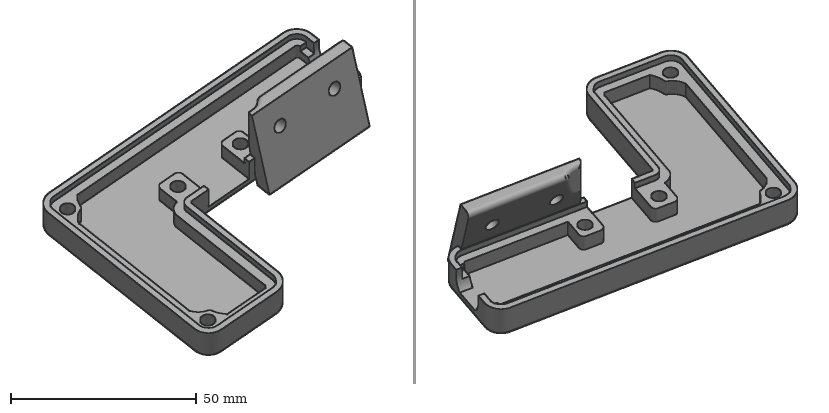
import cadquery as cq
import math


LENGTH_X = 68.35
LENGTH_Y = 96.66
TOTAL_HEIGHT = 26.0

TRAY_HEIGHT = 10.0
FLOOR = 3.15
LEDGE_Z = 8.0
LEG_WIDTH = 28.4
ARM_WIDTH = 30.75
OUTER_RADIUS = 5.3
INNER_CORNER_RADIUS = 0.5
BOTTOM_RADIUS = 2.0
LIP = 1.85
SIDE_WALL = 4.4
ARM_WALL = 4.73
END_WALL = 4.1
CAVITY_RADIUS = 1.0

SCREW_HOLE = 4.2
POST_INSET_X = 6.4
POST_INSET_Y = 6.07
BOSS_X = 20.6
BOSS_REACH = 4.05
BOSS_RADIUS = 1.5
LOWER_BOSS_Y = 33.45
UPPER_BOSS_Y = 56.45
UPPER_BOSS_TOP = 3.4

OUTLET_X = 14.4
OUTLET_RADIUS = 6.0
OUTLET_CENTRE_Z = FLOOR + 4.4
CLIP_WIDTH = 18.0
CLIP_Z = 6.0

LEAN = 15.0
PLATE_LENGTH = 36.9
PLATE_TOP_X = 27.3
PLATE_WIDTH_X = 4.8
PLATE_EDGE_RADIUS = 1.5
PLATE_HOLE = 4.1
PLATE_HOLE_Z = 16.4
PLATE_HOLE_INSET = 8.6
PLATE_HOLE_PITCH = 20.0
DRIVER_RADIUS = 4.5
START_CORNER_RADIUS = 1.6

plate_end_y = LENGTH_Y - OUTER_RADIUS
plate_start_y = plate_end_y - PLATE_LENGTH
lean_slope = math.tan(math.radians(LEAN))


def box(x0, x1, y0, y1, z0, z1):
    return cq.Workplane("XY").box(x1 - x0, y1 - y0, z1 - z0, centered=False).translate((x0, y0, z0))


def l_block(inset, z0, z1):
    """L-shaped block, its outline moved inward by the inset."""
    outline = [
        (inset, inset),
        (LENGTH_X - inset, inset),
        (LENGTH_X - inset, ARM_WIDTH - inset),
        (LEG_WIDTH - inset, ARM_WIDTH - inset),
        (LEG_WIDTH - inset, LENGTH_Y - inset),
        (inset, LENGTH_Y - inset),
    ]
    block = cq.Workplane("XY").workplane(offset=z0).polyline(outline).close().extrude(z1 - z0)
    inner_corner = cq.selectors.NearestToPointSelector((LEG_WIDTH - inset, ARM_WIDTH - inset, (z0 + z1) / 2))
    block = block.edges(inner_corner).fillet(INNER_CORNER_RADIUS + inset)
    convex = "(<X and <Y) or (>X) or (>Y)"
    return block.edges("|Z").edges(convex).fillet(OUTER_RADIUS - inset)


def cavity():
    """Deep pocket: leg and arm, with corner posts and the two bosses left standing."""
    leg_right = LEG_WIDTH - SIDE_WALL
    arm_top = ARM_WIDTH - ARM_WALL
    arm_right = LENGTH_X - SIDE_WALL
    post_side_y = 11.4
    post_floor_x = 12.3

    def mirrored(point):
        return (LENGTH_X - point[0], point[1])

    post_points = [(6.2, 10.05), (8.4, 9.15), (8.75, 8.9), (8.95, 8.4), (10.15, 6.3)]
    side_mid, tip_start, tip_mid, tip_end, floor_mid = post_points
    boss_bottom = LOWER_BOSS_Y - BOSS_REACH
    pocket = (
        cq.Workplane("XY").workplane(offset=FLOOR)
        .moveTo(SIDE_WALL, LENGTH_Y - END_WALL)
        .lineTo(SIDE_WALL, post_side_y)
        .threePointArc(side_mid, tip_start)
        .threePointArc(tip_mid, tip_end)
        .threePointArc(floor_mid, (post_floor_x, ARM_WALL))
        .lineTo(LENGTH_X - post_floor_x, ARM_WALL)
        .threePointArc(mirrored(floor_mid), mirrored(tip_end))
        .threePointArc(mirrored(tip_mid), mirrored(tip_start))
        .threePointArc(mirrored(side_mid), (arm_right, post_side_y))
        .lineTo(arm_right, arm_top)
        .lineTo(27.8, arm_top)
        .threePointArc((25.5, 27.4), (24.5, boss_bottom))
        .lineTo(leg_right, boss_bottom)
        .lineTo(leg_right, LENGTH_Y - END_WALL)
        .close()
        .extrude(TRAY_HEIGHT)
    )
    for corner in [(SIDE_WALL, LENGTH_Y - END_WALL), (leg_right, LENGTH_Y - END_WALL), (arm_right, arm_top)]:
        nearest = cq.selectors.NearestToPointSelector((*corner, FLOOR + TRAY_HEIGHT / 2))
        pocket = pocket.edges(nearest).fillet(CAVITY_RADIUS)
    for y, above in [(LOWER_BOSS_Y, BOSS_REACH), (UPPER_BOSS_Y, UPPER_BOSS_TOP)]:
        boss = box(BOSS_X - BOSS_REACH, LEG_WIDTH, y - BOSS_REACH, y + above, 0, TRAY_HEIGHT + FLOOR)
        pocket = pocket.cut(boss.edges("|Z and <X").fillet(BOSS_RADIUS))
    return pocket


def tray():
    body = l_block(0, 0, TRAY_HEIGHT).faces("<Z").edges().fillet(BOTTOM_RADIUS)
    body = body.cut(l_block(LIP, LEDGE_Z, TRAY_HEIGHT))
    body = body.cut(cavity())
    side_opening = box(
        LEG_WIDTH - SIDE_WALL, LEG_WIDTH,
        LOWER_BOSS_Y + BOSS_REACH, UPPER_BOSS_Y - BOSS_REACH,
        FLOOR, TRAY_HEIGHT,
    )
    return body.cut(side_opening)


def cable_outlet():
    """U-shaped opening through the end wall, flat at floor level, with a wider recess behind the lip."""
    y0 = LENGTH_Y - END_WALL
    round_part = (
        cq.Workplane("XZ").center(OUTLET_X, OUTLET_CENTRE_Z).circle(OUTLET_RADIUS)
        .extrude(-END_WALL).translate((0, y0, 0))
    )
    left = OUTLET_X - OUTLET_RADIUS
    right = OUTLET_X + OUTLET_RADIUS
    opening = round_part.union(box(left, right, y0, LENGTH_Y, OUTLET_CENTRE_Z, TRAY_HEIGHT))
    opening = opening.intersect(box(left, right, y0, LENGTH_Y, FLOOR, TRAY_HEIGHT))
    half_clip = CLIP_WIDTH / 2
    recess = box(OUTLET_X - half_clip, OUTLET_X + half_clip, y0, LENGTH_Y - LIP, CLIP_Z, TRAY_HEIGHT)
    return opening.union(recess)


def mounting_plate():
    bottom_x = PLATE_TOP_X + TOTAL_HEIGHT * lean_slope
    plate = (
        cq.Workplane("XZ")
        .polyline([
            (bottom_x, 0),
            (PLATE_TOP_X, TOTAL_HEIGHT),
            (PLATE_TOP_X - PLATE_WIDTH_X, TOTAL_HEIGHT),
            (bottom_x - PLATE_WIDTH_X, 0),
        ])
        .close().extrude(-PLATE_LENGTH).translate((0, plate_start_y, 0))
    )
    wall_x = BOSS_X + DRIVER_RADIUS
    clearance = cq.Workplane("XY").workplane(offset=TRAY_HEIGHT).center(BOSS_X, UPPER_BOSS_Y)
    plate = plate.cut(clearance.circle(DRIVER_RADIUS).extrude(TOTAL_HEIGHT))
    plate = plate.cut(box(BOSS_X, wall_x, plate_start_y, UPPER_BOSS_Y, TRAY_HEIGHT, TOTAL_HEIGHT))
    top_rim = plate.faces(">Z").edges("not(>X or >Y or <Y)")
    clearance_rim = plate.edges("%ELLIPSE")
    plate = top_rim.add(clearance_rim).fillet(PLATE_EDGE_RADIUS)
    corner_x = wall_x + START_CORNER_RADIUS
    corner_y = plate_start_y + START_CORNER_RADIUS
    corner = box(wall_x, corner_x, plate_start_y, corner_y, TRAY_HEIGHT, TOTAL_HEIGHT)
    rounding = cq.Workplane("XY").center(corner_x, corner_y).circle(START_CORNER_RADIUS).extrude(TOTAL_HEIGHT)
    plate = plate.cut(corner.cut(rounding))
    return plate


def plate_holes():
    inner_x = PLATE_TOP_X - PLATE_WIDTH_X + (TOTAL_HEIGHT - PLATE_HOLE_Z) * lean_slope
    axis = cq.Vector(math.cos(math.radians(LEAN)), 0, math.sin(math.radians(LEAN)))
    holes = cq.Workplane("XY")
    for index in range(2):
        y = plate_end_y - PLATE_HOLE_INSET - index * PLATE_HOLE_PITCH
        start = cq.Vector(inner_x, y, PLATE_HOLE_Z) - axis * PLATE_WIDTH_X
        holes = holes.add(cq.Solid.makeCylinder(PLATE_HOLE / 2, 3 * PLATE_WIDTH_X, start, axis))
    return holes.combine()


def screw_holes():
    places = [
        (POST_INSET_X, POST_INSET_Y),
        (LENGTH_X - POST_INSET_X, POST_INSET_Y),
        (BOSS_X, LOWER_BOSS_Y),
        (BOSS_X, UPPER_BOSS_Y),
    ]
    return (
        cq.Workplane("XY").workplane(offset=FLOOR)
        .pushPoints(places).circle(SCREW_HOLE / 2).extrude(LEDGE_Z - FLOOR)
    )


result = tray().cut(cable_outlet()).union(mounting_plate()).cut(plate_holes()).cut(screw_holes())